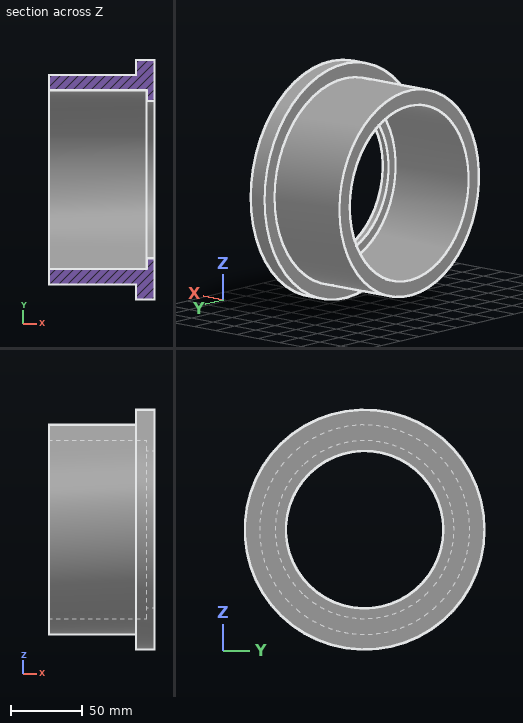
import cadquery as cq

total_length = 74.0
flange_diameter = 168.0
flange_thickness = 13.1
sleeve_diameter = 147.0

bore_diameter = 125.0
lip_diameter = 110.0
lip_thickness = 5.5

sleeve_length = total_length - flange_thickness
bore_depth = total_length - lip_thickness


def cylinder_along_x(diameter, start, length):
    """Cylinder centred on the X axis, starting at the given X position."""
    return cq.Workplane("YZ", origin=(start, 0, 0)).circle(diameter / 2).extrude(length)


sleeve = cylinder_along_x(sleeve_diameter, 0, total_length)
flange = cylinder_along_x(flange_diameter, sleeve_length, flange_thickness)
bore = cylinder_along_x(bore_diameter, 0, bore_depth)
lip_opening = cylinder_along_x(lip_diameter, 0, total_length)

result = sleeve.union(flange).cut(bore).cut(lip_opening)